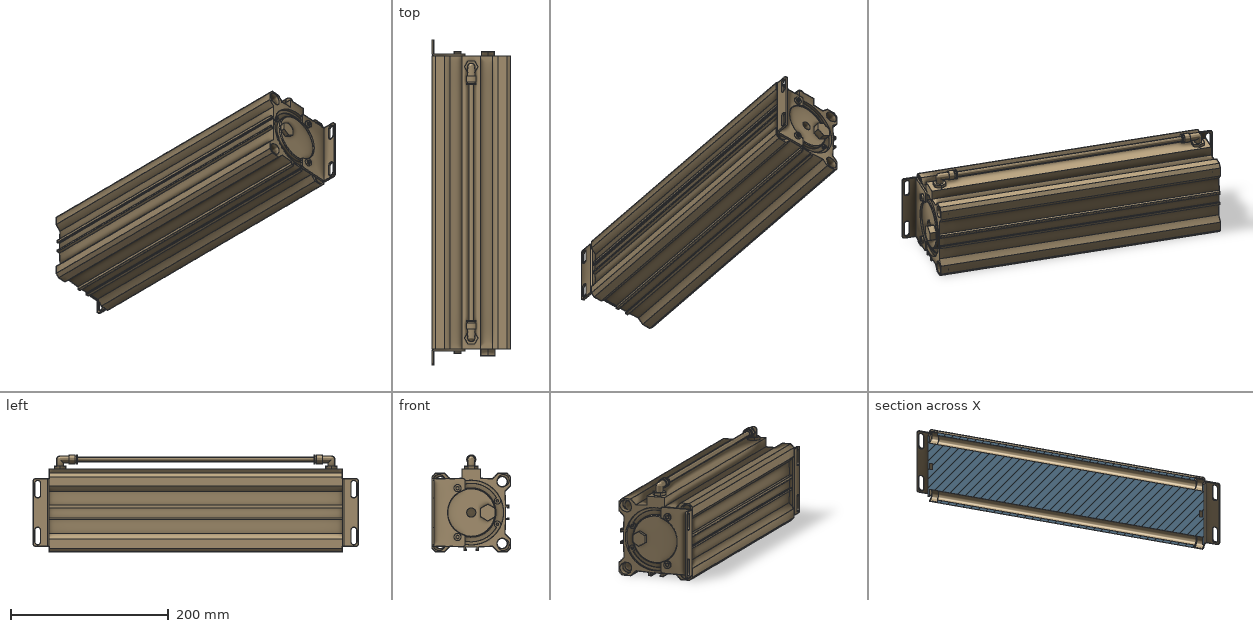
import cadquery as cq
import math

total_length = 412.5
body_length = 372.0
body_end = body_length / 2
half_width = 50.0

lobe_inner = 34.0
lobe_chamfer = 4.5
wall_root = 27.0
wall_root_height = 43.0
wall_height = 43.7
wall_middle = 9.5
port_pad_half_width = 12.0
port_pad_top = 55.3

rail_tip = 48.0
rail_thickness = 2.5
rail_root = 41.2
rail_outer = 9.5
hook_width = 3.7
hook_thickness = 1.5
lip_rail_outer = 9.0
lip_rail_thickness = 1.5

rod_hole_position = 39.0
rod_hole_diameter = 12.8
rod_recess_position = 41.0
rod_recess_diameter = 15.0
rod_recess_depth = 10.5

recess_diameter = 82.0
recess_depth = 5.5
disc_diameter = 62.5
disc_chamfer = 1.2
center_hole_diameter = 11.5
center_hole_depth = 16.5
clip_inner_diameter = 74.2
clip_thickness = 1.5
clip_ear_radius = 36.5
clip_ear_angle = 24.0
clip_ear_diameter = 8.0
clip_hole_diameter = 3.0

plug_x = 21.0
front_plug_flats = 18.5
front_plug_height = 8.5
back_plug_flats = 16.5
back_plug_height = 5.5

bracket_half_height = 43.0
foot_thickness = 2.5
foot_corner_radius = 3.0
flange_thickness = 2.5
bend_chamfer = 2.0
flange_edge_x = -8.0
flange_corner_radius = 2.0
flange_cutout_diameter = 59.5
slot_width = 7.0
slot_length = 22.0
slot_z = 29.5
slot_edge_distance = 5.8
screw_x = -17.5
screw_z = 31.0
screw_head_diameter = 9.0
screw_head_height = 3.0
screw_socket_flats = 4.0
screw_socket_depth = 2.0

fitting_inset = 14.0
fitting_hex_flats = 15.0
fitting_hex_height = 3.7
elbow_diameter = 9.0
line_z = 67.2
collar_diameter = 11.5
collar_start = 25.5
collar_end = 33.0
rim_start = 35.0
rim_end = 36.5
tube_diameter = 6.0


def along_y(y_start, y_end, x=0.0, z=0.0):
    """Workplane whose local axes are X and Z, and whose extrusions run towards +Y."""
    low = min(y_start, y_end)
    return cq.Workplane(cq.Plane(origin=(x, low, z), xDir=(1, 0, 0), normal=(0, -1, 0)))


def cylinder_y(diameter, y_start, y_end, x=0.0, z=0.0):
    return along_y(y_start, y_end, x, z).circle(diameter / 2).extrude(-abs(y_end - y_start))


def box(x_range, y_range, z_range):
    """Box between two limits on each axis."""
    size = [abs(b - a) for a, b in (x_range, y_range, z_range)]
    start = [min(limits) for limits in (x_range, y_range, z_range)]
    return cq.Workplane("XY").box(*size, centered=False).translate(tuple(start))


def hexagon_y(flats, y_start, y_end, x=0.0, z=0.0):
    """Hexagonal prism along Y with two corners pointing up and down."""
    corners = flats / math.cos(math.pi / 6)
    plane = along_y(y_start, y_end, x, z).transformed(rotate=(0, 0, 90))
    return plane.polygon(6, corners).extrude(-abs(y_end - y_start))


def make_body():
    """Extruded profile with four corner lobes and a port pad along the top."""
    quarter = [
        (wall_middle, wall_height),
        (wall_root, wall_root_height),
        (lobe_inner, half_width),
        (half_width, half_width),
        (half_width, lobe_inner),
        (wall_root_height, wall_root),
        (wall_height, wall_middle),
    ]
    outline = []
    for x_sign, z_sign in ((1, 1), (1, -1), (-1, -1), (-1, 1)):
        points = [(x_sign * x, z_sign * z) for x, z in quarter]
        outline += points if x_sign * z_sign > 0 else points[::-1]
    body = along_y(-body_end, body_end).polyline(outline).close().extrude(-body_length)
    for sx in (-1, 1):
        for sz in (-1, 1):
            corner = (sx * half_width, 0, sz * half_width)
            body = body.edges(cq.selectors.NearestToPointSelector(corner)).chamfer(lobe_chamfer)
    pad = box(
        (-port_pad_half_width, port_pad_half_width), (-body_end, body_end), (0, port_pad_top)
    )
    return body.union(pad)


def add_rails(body):
    """Rails on both sides and a facing hooked pair underneath, over the full body length."""
    length = (-body_end, body_end)
    hooked = (rail_outer - rail_thickness, rail_outer)
    hook = (rail_outer - hook_width, rail_outer)
    low_rail = (-lip_rail_outer, -lip_rail_outer + lip_rail_thickness)
    lip = (-lip_rail_outer, -lip_rail_outer + rail_thickness)
    for side in (-1, 1):
        reach = (side * rail_root, side * rail_tip)
        tip = (side * (rail_tip - hook_thickness), side * rail_tip)
        body = body.union(box(reach, length, hooked))
        body = body.union(box(tip, length, hook))
        body = body.union(box(reach, length, low_rail))
        body = body.union(box(tip, length, lip))
        low_tip = (-rail_tip, -rail_tip + hook_thickness)
        body = body.union(box([side * v for v in hooked], length, (-rail_tip, -rail_root)))
        body = body.union(box([side * v for v in hook], length, low_tip))
    return body


def cut_rod_holes(body):
    """Through hole in each lobe, with a wider offset recess at both ends."""
    for sx in (-1, 1):
        for sz in (-1, 1):
            hole_x, hole_z = sx * rod_hole_position, sz * rod_hole_position
            body = body.cut(cylinder_y(rod_hole_diameter, -body_end, body_end, hole_x, hole_z))
            recess_x, recess_z = sx * rod_recess_position, sz * rod_recess_position
            for end in (-1, 1):
                face, floor = end * body_end, end * (body_end - rod_recess_depth)
                body = body.cut(cylinder_y(rod_recess_diameter, floor, face, recess_x, recess_z))
    return body


def make_clip(y_start, y_end):
    """Retaining ring, open on the +X side between two drilled ears."""
    clip = cylinder_y(recess_diameter, y_start, y_end)
    clip = clip.cut(cylinder_y(clip_inner_diameter, y_start, y_end))
    ear_x = clip_ear_radius * math.cos(math.radians(clip_ear_angle))
    ear_z = clip_ear_radius * math.sin(math.radians(clip_ear_angle))
    clip = clip.cut(box((ear_x, recess_diameter), (y_start, y_end), (-ear_z, ear_z)))
    for side in (-1, 1):
        clip = clip.union(cylinder_y(clip_ear_diameter, y_start, y_end, ear_x, side * ear_z))
    for side in (-1, 1):
        clip = clip.cut(cylinder_y(clip_hole_diameter, y_start, y_end, ear_x, side * ear_z))
    return clip


def shape_end_cap(body, end):
    """Round recess with a retaining ring around a flush central disc."""
    face, floor = end * body_end, end * (body_end - recess_depth)
    body = body.cut(cylinder_y(recess_diameter, floor, face))
    disc = cylinder_y(disc_diameter, floor, face)
    disc = disc.faces("<Y" if end < 0 else ">Y").edges().chamfer(disc_chamfer)
    clip = make_clip(floor, floor + end * clip_thickness)
    return body.union(disc).union(clip)


def make_bracket(end):
    """Sheet-metal angle: a flange on the body end and a slotted foot along its -X edge."""
    face = end * body_end
    outer = end * (body_end + flange_thickness)
    tip = end * total_length / 2
    heights = (-bracket_half_height, bracket_half_height)
    flange = box((-half_width, flange_edge_x), (face, outer), heights)
    flange = flange.edges("|Y and >X").fillet(flange_corner_radius)
    bend = cq.selectors.NearestToPointSelector((-half_width, face, 0))
    flange = flange.edges(bend).chamfer(bend_chamfer)
    flange = flange.cut(cylinder_y(flange_cutout_diameter, face, outer))
    foot = box((-half_width, -half_width + foot_thickness), (outer, tip), heights)
    foot = foot.edges("|X").edges(">Y" if end > 0 else "<Y").fillet(foot_corner_radius)
    slots = (
        cq.Workplane("YZ", origin=(-half_width, 0, 0))
        .pushPoints([(tip - end * slot_edge_distance, side * slot_z) for side in (-1, 1)])
        .slot2D(slot_length, slot_width, 90)
        .extrude(foot_thickness)
    )
    bracket = flange.union(foot.cut(slots))
    top = outer + end * screw_head_height
    for side in (-1, 1):
        z = side * screw_z
        bracket = bracket.union(cylinder_y(screw_head_diameter, face, top, screw_x, z))
        socket_floor = top - end * screw_socket_depth
        bracket = bracket.cut(hexagon_y(screw_socket_flats, socket_floor, top, screw_x, z))
    return bracket


def make_fitting(end):
    """Elbow on a hexagon, with a grooved push-in collar pointing to the body middle."""
    axis_y = end * (body_end - fitting_inset)
    hexagon = (
        cq.Workplane("XY", origin=(0, axis_y, port_pad_top))
        .polygon(6, fitting_hex_flats / math.cos(math.pi / 6))
        .extrude(fitting_hex_height)
    )
    riser = (
        cq.Workplane("XY", origin=(0, axis_y, port_pad_top))
        .circle(elbow_diameter / 2)
        .extrude(line_z - port_pad_top)
    )
    bend = cq.Workplane("XY").sphere(elbow_diameter / 2).translate((0, axis_y, line_z))
    fitting = hexagon.union(riser).union(bend)
    stages = (
        (elbow_diameter, fitting_inset, rim_start),
        (collar_diameter, collar_start, collar_end),
        (collar_diameter, rim_start, rim_end),
    )
    for diameter, near, far in stages:
        y_near, y_far = end * (body_end - near), end * (body_end - far)
        fitting = fitting.union(cylinder_y(diameter, y_near, y_far, z=line_z))
    return fitting


result = cut_rod_holes(add_rails(make_body()))
for end_sign in (-1, 1):
    result = shape_end_cap(result, end_sign)
    result = result.union(make_bracket(end_sign))
    result = result.union(make_fitting(end_sign))

result = result.cut(cylinder_y(center_hole_diameter, -body_end, -body_end + center_hole_depth))

result = result.union(
    hexagon_y(front_plug_flats, -body_end - front_plug_height, -body_end, plug_x)
)
result = result.union(hexagon_y(back_plug_flats, body_end, body_end + back_plug_height, plug_x))

tube_end = body_end - rim_end
result = result.union(cylinder_y(tube_diameter, -tube_end, tube_end, z=line_z))